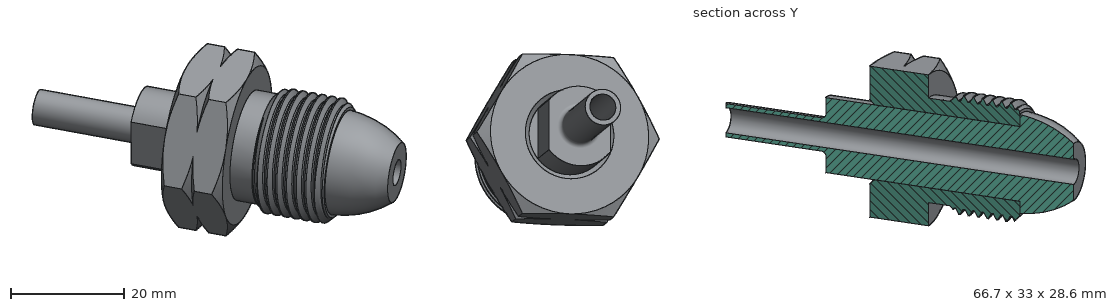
import cadquery as cq
import math


overall_length = 66.7
tube_radius = 3.2
bore_radius = 2.35
shoulder_start = 19.15
shoulder_radius = 7.15
shoulder_flats = 11.15
tube_fillet = 0.8
nose_radius = 9.4
nose_tip_radius = 5.4
nose_bulge = 0.9

hex_start = 27.55
hex_length = 11.35
hex_flats = 28.6
hex_corner_angle = 30.0
groove_root_radius = 14.5
bore_chamfer = 0.9
neck_length = 4.1
neck_radius = 9.95

thread_length = 13.4
thread_radius = 11.3
thread_root_radius = 10.2
thread_pitch = 1.8
thread_flank_angle = 30.0
thread_crest_width = 0.3
ridge_embed = 0.1
ridge_overrun = 1.0
trim_margin = 1.35

hex_end = hex_start + hex_length
neck_end = hex_end + neck_length
nut_end = neck_end + thread_length
corner_slope = math.tan(math.radians(hex_corner_angle))
corner_radius = hex_flats / 2 / math.cos(math.radians(30))


def cylinder(radius, start, end):
    """Cylinder along X from start to end."""
    return cq.Workplane("YZ").workplane(offset=start).circle(radius).extrude(end - start)


def revolved(points):
    """Solid of revolution about X from a closed (x, radius) outline."""
    return cq.Workplane("XY").polyline(points).close().revolve(360, (0, 0, 0), (1, 0, 0))


def nose():
    """Bullet nose bearing on the end of the nut."""
    return (
        cq.Workplane("XY")
        .moveTo(nut_end, 0)
        .lineTo(nut_end, nose_radius)
        .sagittaArc((overall_length, nose_tip_radius), nose_bulge)
        .lineTo(overall_length, 0)
        .close()
        .revolve(360, (0, 0, 0), (1, 0, 0))
    )


def tube_root_fillet():
    """Concave fillet between the tube and the shoulder face."""
    return (
        cq.Workplane("XY")
        .moveTo(shoulder_start - tube_fillet, 0)
        .lineTo(shoulder_start - tube_fillet, tube_radius)
        .radiusArc((shoulder_start, tube_radius + tube_fillet), -tube_fillet)
        .lineTo(shoulder_start, 0)
        .close()
        .revolve(360, (0, 0, 0), (1, 0, 0))
    )


def make_nipple():
    """Tube, shoulder with two wrench flats, stem through the nut and bullet nose."""
    flats_end = hex_start + bore_chamfer
    flats_length = flats_end - shoulder_start
    flatted_shoulder = cylinder(shoulder_radius, shoulder_start, flats_end).intersect(
        cq.Workplane("YZ")
        .workplane(offset=shoulder_start)
        .rect(shoulder_flats, 2 * shoulder_radius)
        .extrude(flats_length)
    )
    return (
        cylinder(tube_radius, 0, shoulder_start)
        .union(tube_root_fillet())
        .union(flatted_shoulder)
        .union(cylinder(shoulder_radius, flats_end, nut_end))
        .union(nose())
        .cut(cylinder(bore_radius, 0, overall_length))
    )


def hex_head():
    """Hexagon with chamfered corners and a V groove around its middle."""
    hexagon = (
        cq.Workplane("YZ")
        .workplane(offset=hex_start)
        .polygon(6, 2 * corner_radius)
        .extrude(hex_length)
    )
    flat_radius = hex_flats / 2
    chamfer_length = (corner_radius - flat_radius) * corner_slope
    groove_half_width = (corner_radius - groove_root_radius) * corner_slope
    middle = hex_start + hex_length / 2
    envelope = revolved([
        (hex_start, 0),
        (hex_start, flat_radius),
        (hex_start + chamfer_length, corner_radius),
        (middle - groove_half_width, corner_radius),
        (middle, groove_root_radius),
        (middle + groove_half_width, corner_radius),
        (hex_end - chamfer_length, corner_radius),
        (hex_end, flat_radius),
        (hex_end, 0),
    ])
    return hexagon.intersect(envelope)


def thread_ridge():
    """Right-hand helical thread ridge, long enough to pass both ends of the barrel."""
    turns = math.ceil(thread_length / thread_pitch) + 1
    helix_length = turns * thread_pitch
    base_radius = thread_root_radius - ridge_embed
    flank_run = (thread_radius - base_radius) * math.tan(math.radians(thread_flank_angle))
    crest_half = thread_crest_width / 2
    base_half = crest_half + flank_run
    helix = cq.Workplane(cq.Wire.makeHelix(thread_pitch, helix_length, base_radius))
    ridge = (
        cq.Workplane("XZ")
        .polyline([
            (base_radius, -base_half),
            (thread_radius, -crest_half),
            (thread_radius, crest_half),
            (base_radius, base_half),
        ])
        .close()
        .sweep(helix, isFrenet=True)
    )
    ridge_start = nut_end + ridge_overrun - helix_length
    return ridge.rotate((0, 0, 0), (0, 1, 0), 90).translate((ridge_start, 0, 0))


def end_trim(end, inward):
    """Ring that cuts a 45 degree chamfer at one thread end and clears what lies outside it.

    inward is +1 where the thread lies on the +X side of the end, -1 where it lies on the -X side.
    """
    rise = thread_radius - neck_radius + trim_margin
    outside = end - inward * neck_length
    return revolved([
        (end, neck_radius),
        (end + inward * rise, neck_radius + rise),
        (outside, neck_radius + rise),
        (outside, neck_radius),
    ])


def threaded_barrel():
    """Core with the thread ridge on it, chamfered at both thread ends and turned down to the neck."""
    return (
        cylinder(thread_root_radius, hex_end, nut_end)
        .union(thread_ridge())
        .cut(end_trim(neck_end, 1))
        .cut(end_trim(nut_end, -1))
    )


def nut_bore():
    """Bore that fits the nipple stem, with a 45 degree chamfer at the hexagon end."""
    return revolved([
        (hex_start, 0),
        (hex_start, shoulder_radius + bore_chamfer),
        (hex_start + bore_chamfer, shoulder_radius),
        (nut_end, shoulder_radius),
        (nut_end, 0),
    ])


def make_nut():
    """Hexagon-headed gland nut with a male thread."""
    return hex_head().union(threaded_barrel()).cut(nut_bore())


nipple = make_nipple()
nut = make_nut()

result = cq.Compound.makeCompound([nipple.solids().val(), nut.solids().val()])